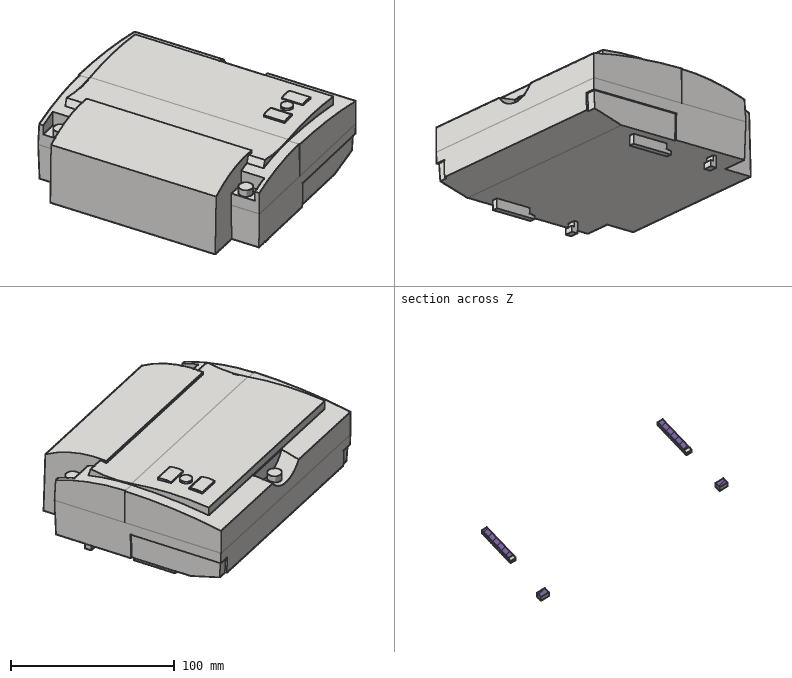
import cadquery as cq
import math


width = 156.0
half_width = width / 2
rear_y = 68.3
front_y = -49.6
seam_z = 25.1
crown_z = 47.9
rear_edge_z = 41.2
front_edge_z = 39.6
draft = 0.6
underside_rear_y = 45.7
underside_rear_z = 6.2
underside_rear_lean = 0.5

recess_top_z = 17.5
recess_front_y = 4.0
recess_side_depth = 1.2
recess_rear_depth = 1.2
recess_rear_lean = 1.0
recess_rear_width = 7.8

lid_width = 139.8
lid_rear_y = 54.9
lid_front_top_y = -28.7
lid_front_foot_y = -30.4
lid_peak_y = 29.0
lid_peak_z = 50.9
lid_crown_z = 48.8
lid_front_z = 49.9
lid_front_foot_z = 44.8
lid_base_z = 42.1

cover_width = 116.4
cover_rear_y = -24.5
cover_front_y = -69.1
cover_lean = 1.2
cover_rear_z = 50.7
cover_front_z = 41.3
cover_arc_sag = 3.5

screw_diameter = 9.0
screw_height = 4.7
pocket_floor_z = 33.2
pocket_half_span = 74.5
pocket_rear_y = -37.5
front_screw_x = 65.4
front_screw_y = -44.1
rear_screw_y = 60.4
trough_radius = 19.2
trough_front_y = 55.4

panel_x = 52.4
lamp_y = 28.5
lamp_diameter = 7.8
lamp_rim_z = 52.3
lamp_top_z = 53.5
button_width = 14.8
button_length = 9.5
button_offset = 11.0
button_edge_z = 51.3
button_top_z = 52.0
button_base_z = 49.1

foot_inner_x = 65.5
front_foot_width = 6.2
rear_foot_width = 4.0
rear_foot_rear_y = 30.9
rear_foot_front_y = 5.3
rear_foot_toe_y = 1.7
rear_foot_z = -6.5
toe_top_z = -3.6
toe_tip_z = -4.4
front_foot_rear_y = -29.2
front_foot_front_y = -31.7
front_foot_toe_y = -27.3
front_foot_z = -7.6
foot_overlap = 0.8


def centred_box(x_middle, x_size, y_low, y_high, z_low, z_high):
    """Box centred on x_middle and given by its Y and Z limits."""
    box = cq.Workplane("XY").box(x_size, y_high - y_low, z_high - z_low, centered=(True, False, False))
    return box.translate((x_middle, y_low, z_low))


def extrude_across(outline, x_size, x_middle=0.0):
    """Extrude a closed YZ outline symmetrically about x_middle."""
    return outline.extrude(x_size / 2, both=True).translate((x_middle, 0, 0))


def crown_height(y, edge_y, edge_z):
    """Height of the circular arc that is level at the crown and ends at the given edge."""
    drop = crown_z - edge_z
    radius = (edge_y**2 + drop**2) / (2 * drop)
    return crown_z - radius + math.sqrt(radius**2 - y**2)


def cross_section_slab(top_inset, y_low, y_high):
    """Slab with the drafted housing cross-section between two Y positions."""
    bottom_half = half_width - draft
    top_half = half_width - top_inset
    outline = [
        (-bottom_half, 0),
        (bottom_half, 0),
        (half_width, seam_z),
        (top_half, crown_z),
        (-top_half, crown_z),
        (-half_width, seam_z),
    ]
    slab = cq.Workplane("XZ").polyline(outline).close().extrude(y_low - y_high)
    return slab.translate((0, y_low, 0))


def make_housing():
    rear_mid_y = rear_y / 2
    front_top_y = front_y + draft
    front_mid_y = front_top_y / 2
    outline = (
        cq.Workplane("YZ")
        .moveTo(front_top_y, 0)
        .lineTo(underside_rear_y, 0)
        .lineTo(rear_y - underside_rear_lean, underside_rear_z)
        .lineTo(rear_y, seam_z)
        .lineTo(rear_y, rear_edge_z)
        .threePointArc((rear_mid_y, crown_height(rear_mid_y, rear_y, rear_edge_z)), (0, crown_z))
        .threePointArc(
            (front_mid_y, crown_height(front_mid_y, front_top_y, front_edge_z)),
            (front_top_y, front_edge_z),
        )
        .lineTo(front_y, seam_z)
        .close()
    )
    slabs = cross_section_slab(0, 0, rear_y).union(cross_section_slab(draft, front_y, 0))
    return extrude_across(outline, width).intersect(slabs)


def make_corner_recess(side):
    """Shallow drafted step around one lower rear corner; side is -1 or +1."""
    top_x = half_width - recess_side_depth
    flank_outline = [
        (side * half_width, 0),
        (side * half_width, recess_top_z),
        (side * top_x, recess_top_z),
        (side * (top_x - draft), 0),
    ]
    flank = cq.Workplane("XZ").polyline(flank_outline).close().extrude(recess_front_y - rear_y)
    flank = flank.translate((0, recess_front_y, 0))
    top_y = rear_y - recess_rear_depth
    end_outline = [
        (rear_y, 0),
        (rear_y, recess_top_z),
        (top_y, recess_top_z),
        (top_y - recess_rear_lean, 0),
    ]
    end = extrude_across(
        cq.Workplane("YZ").polyline(end_outline).close(),
        recess_rear_width,
        side * (half_width - recess_rear_width / 2),
    )
    return flank.union(end)


def make_lid():
    peak_drop = lid_peak_z - lid_crown_z
    hump_radius = (lid_peak_y**2 + peak_drop**2) / (2 * peak_drop)
    lid_rear_z = lid_peak_z - hump_radius + math.sqrt(hump_radius**2 - (lid_rear_y - lid_peak_y) ** 2)
    outline = (
        cq.Workplane("YZ")
        .moveTo(lid_rear_y, lid_base_z)
        .lineTo(lid_rear_y, lid_rear_z)
        .threePointArc((lid_peak_y, lid_peak_z), (0, lid_crown_z))
        .tangentArcPoint((lid_front_top_y, lid_front_z), relative=False)
        .lineTo(lid_front_foot_y, lid_front_foot_z)
        .lineTo(lid_front_foot_y, lid_base_z)
        .close()
    )
    return extrude_across(outline, lid_width)


def make_cover():
    front_top_y = cover_front_y + cover_lean
    outline = (
        cq.Workplane("YZ")
        .moveTo(cover_front_y, 0)
        .lineTo(cover_rear_y, 0)
        .lineTo(cover_rear_y, cover_rear_z)
        .sagittaArc((front_top_y, cover_front_z), -cover_arc_sag)
        .close()
    )
    return extrude_across(outline, cover_width)


def make_trough():
    trough = cq.Workplane("XZ").circle(trough_radius).extrude(trough_front_y - rear_y)
    return trough.translate((0, trough_front_y, pocket_floor_z + trough_radius))


def make_screw(x, y):
    screw = cq.Workplane("XY").circle(screw_diameter / 2).extrude(screw_height)
    return screw.translate((x, y, pocket_floor_z))


def make_button(y):
    half_length = button_length / 2
    outline = (
        cq.Workplane("YZ")
        .moveTo(y - half_length, button_base_z)
        .lineTo(y - half_length, button_edge_z)
        .threePointArc((y, button_top_z), (y + half_length, button_edge_z))
        .lineTo(y + half_length, button_base_z)
        .close()
    )
    return extrude_across(outline, button_width, panel_x)


def make_lamp():
    """Round post with a shallow domed top."""
    lamp_radius = lamp_diameter / 2
    dome_height = lamp_top_z - lamp_rim_z
    dome_radius = (lamp_radius**2 + dome_height**2) / (2 * dome_height)
    post = cq.Workplane("XY").circle(lamp_radius).extrude(lamp_top_z - button_base_z)
    post = post.translate((panel_x, lamp_y, button_base_z))
    dome = cq.Workplane("XY").sphere(dome_radius).translate((panel_x, lamp_y, lamp_top_z - dome_radius))
    return post.intersect(dome)


def make_feet(side):
    """Rear rail block and front hook on one side; side is -1 or +1."""
    rear_outline = [
        (rear_foot_rear_y, foot_overlap),
        (rear_foot_rear_y, rear_foot_z),
        (rear_foot_toe_y, rear_foot_z),
        (rear_foot_toe_y, toe_tip_z),
        (rear_foot_front_y, toe_top_z),
        (rear_foot_front_y, foot_overlap),
    ]
    front_outline = [
        (front_foot_front_y, foot_overlap),
        (front_foot_front_y, front_foot_z),
        (front_foot_toe_y, front_foot_z),
        (front_foot_toe_y, toe_top_z),
        (front_foot_rear_y, toe_top_z),
        (front_foot_rear_y, foot_overlap),
    ]
    rear_foot = extrude_across(
        cq.Workplane("YZ").polyline(rear_outline).close(),
        rear_foot_width,
        side * (foot_inner_x + rear_foot_width / 2),
    )
    front_foot = extrude_across(
        cq.Workplane("YZ").polyline(front_outline).close(),
        front_foot_width,
        side * (foot_inner_x + front_foot_width / 2),
    )
    return rear_foot.union(front_foot)


result = make_housing()
for side in (-1, 1):
    result = result.cut(make_corner_recess(side))
result = result.cut(centred_box(0, 2 * pocket_half_span, front_y, pocket_rear_y, pocket_floor_z, crown_z))
result = result.cut(make_trough())

result = result.union(make_lid()).union(make_cover())

for offset in (-button_offset, button_offset):
    result = result.union(make_button(lamp_y + offset))
result = result.union(make_lamp())

result = result.union(make_screw(0, rear_screw_y))
for side in (-1, 1):
    result = result.union(make_screw(side * front_screw_x, front_screw_y))
    result = result.union(make_feet(side))